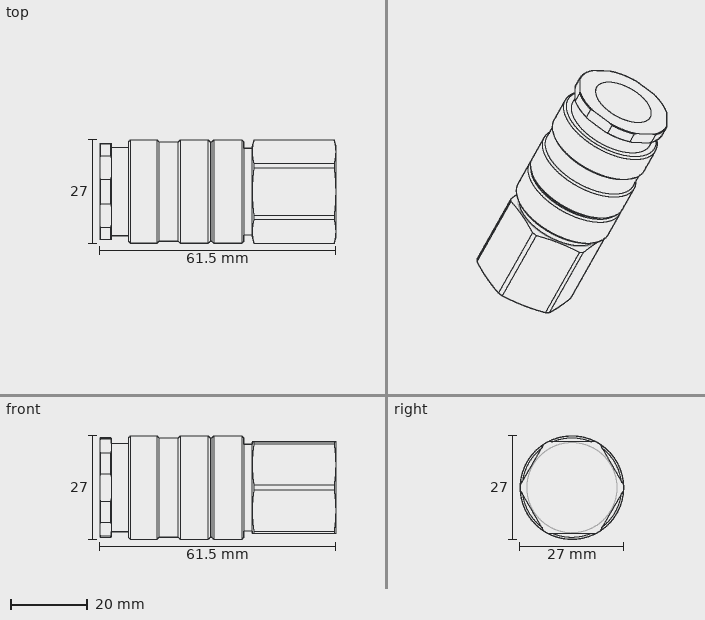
import cadquery as cq
import math

length = 61.5

flange_diameter = 26.0
flange_across_flats = 25.0
flange_length = 3.0
flange_chamfer = 0.2

front_neck_diameter = 23.0
rear_neck_diameter = 22.7
band_diameter = 27.0
recess_diameter = 25.9
bands = [(7.45, 15.45), (20.4, 28.8), (29.15, 37.5)]
band_chamfer = 0.55
band_chamfer_depth = (band_diameter - recess_diameter) / 2

nut_start = 39.65
nut_across_flats = 24.0
nut_corner_diameter = band_diameter
nut_face_diameter = 23.5
nut_chamfer_angle = 15.0

mouth_diameter = 16.0
socket_diameter = 15.4
drill_diameter = 11.1
mouth_depth = 18.45
socket_depth = 24.6
seat_angle = 55.0
drill_point_angle = 60.0


def revolve_profile(points):
    """Turn (x, radius) points around the X axis."""
    profile = cq.Workplane("XY").polyline(points).close()
    return profile.revolve(360, (0, 0, 0), (1, 0, 0))


def chamfered_disc(start, end, diameter, chamfer, chamfer_depth):
    radius = diameter / 2
    return revolve_profile([
        (start, 0),
        (start, radius - chamfer_depth),
        (start + chamfer, radius),
        (end - chamfer, radius),
        (end, radius - chamfer_depth),
        (end, 0),
    ])


def cylinder(start, end, diameter):
    return cq.Workplane("YZ", origin=(start, 0, 0)).circle(diameter / 2).extrude(end - start)


def hexagon(start, end, across_flats):
    """Hexagonal prism along X with two corners on the Y axis."""
    across_corners = across_flats / math.cos(math.radians(30))
    return cq.Workplane("YZ", origin=(start, 0, 0)).polygon(6, across_corners).extrude(end - start)


def make_flange():
    disc = chamfered_disc(0, flange_length, flange_diameter, flange_chamfer, flange_chamfer)
    hexagonal = hexagon(0, flange_length, flange_across_flats)
    return disc.intersect(hexagonal.rotate((0, 0, 0), (1, 0, 0), 90))


def make_body():
    first_band_start = bands[0][0]
    last_band_end = bands[-1][1]
    body = cylinder(flange_length, first_band_start, front_neck_diameter)
    body = body.union(cylinder(first_band_start, last_band_end, recess_diameter))
    for start, end in bands:
        body = body.union(chamfered_disc(start, end, band_diameter, band_chamfer, band_chamfer_depth))
    return body.union(cylinder(last_band_end, nut_start, rear_neck_diameter))


def make_nut():
    chamfer_depth = (nut_corner_diameter - nut_face_diameter) / 2
    chamfer = chamfer_depth * math.tan(math.radians(nut_chamfer_angle))
    disc = chamfered_disc(nut_start, length, nut_corner_diameter, chamfer, chamfer_depth)
    return disc.intersect(hexagon(nut_start, length, nut_across_flats))


def make_socket():
    mouth_radius = mouth_diameter / 2
    socket_radius = socket_diameter / 2
    drill_radius = drill_diameter / 2
    seat_end = socket_depth + (socket_radius - drill_radius) / math.tan(math.radians(seat_angle))
    tip = seat_end + drill_radius / math.tan(math.radians(drill_point_angle))
    return revolve_profile([
        (0, 0),
        (0, mouth_radius),
        (mouth_depth, mouth_radius),
        (mouth_depth, socket_radius),
        (socket_depth, socket_radius),
        (seat_end, drill_radius),
        (tip, 0),
    ])


result = make_flange().union(make_body()).union(make_nut()).cut(make_socket())